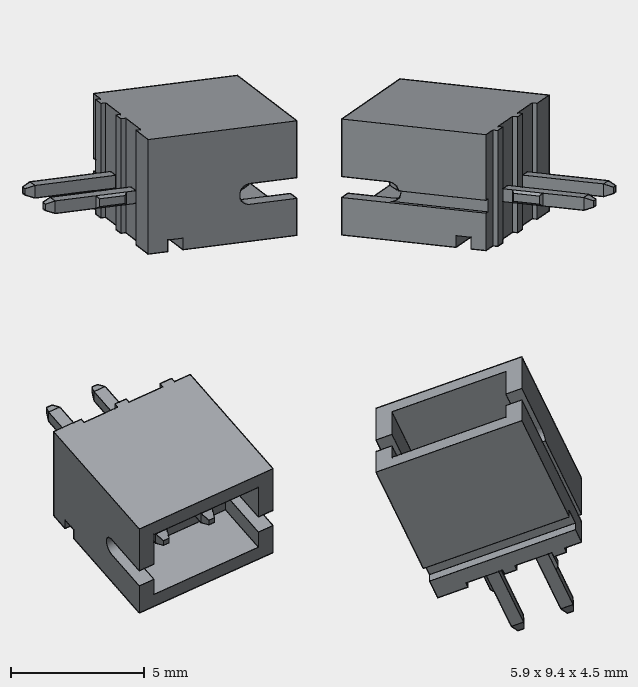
import cadquery as cq


housing_width = 5.9
housing_depth = 5.8
housing_height = 4.5
wall = 0.65

rib_depth = 0.2
left_rib_start = 0.7
left_rib_width = 0.52
middle_rib_width = 0.5
right_rib_width = 1.22

pin_size = 0.5
pin_pitch = 2.0
pin_bottom = 1.46
pin_projection = 3.4
pin_rear_inset = 1.2
tip_length = 0.35
tip_size = pin_size / 2
pin_z = pin_bottom + pin_size / 2
pin_front = -rib_depth - pin_projection
pin_rear = housing_depth - pin_rear_inset

bump_length = 1.22
bump_height = 0.12
bump_inset = 0.09
bump_gap = 0.19
bump_y = -rib_depth - bump_gap - bump_length / 2

slot_height = 0.81
slot_depth = 2.3
groove_depth = 0.2
notch_width = 0.6
notch_height = 0.46
notch_start = 0.6

cavity_floor = housing_depth - slot_depth


def box(x, y, z, width, depth, height):
    """Box with its lowest corner at (x, y, z)."""
    return cq.Workplane("XY").box(width, depth, height, centered=False).translate((x, y, z))


def pin_tip(base_y, direction):
    """Square taper from the pin section at base_y; direction is +1 or -1 along Y."""
    normal = (0, direction, 0)
    base = cq.Plane(origin=(0, base_y, 0), xDir=(1, 0, 0), normal=normal)
    return (
        cq.Workplane(base)
        .rect(pin_size, pin_size)
        .workplane(offset=tip_length)
        .rect(tip_size, tip_size)
        .loft(combine=True)
    )


def make_pin(x, outward):
    """Pin centred at x, with its bump on the outward side (+1 or -1 along X)."""
    shaft_front = pin_front + tip_length
    shaft_length = pin_rear - pin_front - 2 * tip_length
    shaft = box(-pin_size / 2, shaft_front, -pin_size / 2, pin_size, shaft_length, pin_size)
    side = cq.Plane(
        origin=(outward * pin_size / 2, bump_y, 0), xDir=(0, 1, 0), normal=(outward, 0, 0)
    )
    bump = (
        cq.Workplane(side)
        .rect(bump_length, pin_size)
        .workplane(offset=bump_height)
        .rect(bump_length - 2 * bump_inset, pin_size - 2 * bump_inset)
        .loft(combine=True)
    )
    pin = shaft.union(pin_tip(shaft_front, -1))
    pin = pin.union(pin_tip(shaft_front + shaft_length, 1))
    return pin.union(bump).translate((x, 0, pin_z))


def make_ribs():
    """Full-height ribs that stand the housing off the board."""
    layout = [
        (left_rib_start, left_rib_width),
        ((housing_width - middle_rib_width) / 2, middle_rib_width),
        (housing_width - right_rib_width, right_rib_width),
    ]
    ribs = cq.Workplane("XY")
    for start, width in layout:
        ribs = ribs.add(box(start, -rib_depth, 0, width, rib_depth, housing_height))
    return ribs.combine()


def make_slot():
    """Round-ended slot through both side walls, open toward +Y."""
    radius = slot_height / 2
    arc_start = cavity_floor + radius
    slot_top = pin_bottom + slot_height
    return (
        cq.Workplane("YZ")
        .moveTo(housing_depth, pin_bottom)
        .lineTo(arc_start, pin_bottom)
        .threePointArc((cavity_floor, pin_bottom + radius), (arc_start, slot_top))
        .lineTo(housing_depth, slot_top)
        .close()
        .extrude(housing_width)
    )


def make_housing(pin_positions):
    """Open-ended socket with ribs, side openings and a through hole for each pin."""
    cavity = box(
        wall, cavity_floor, wall, housing_width - 2 * wall, slot_depth, housing_height - 2 * wall
    )
    groove = box(0, 0, pin_bottom, groove_depth, housing_depth, pin_size)
    notch = box(0, notch_start, 0, housing_width, notch_width, notch_height)
    body = box(0, 0, 0, housing_width, housing_depth, housing_height).union(make_ribs())
    body = body.cut(cavity).cut(make_slot()).cut(groove).cut(notch)
    for x in pin_positions:
        hole = box(x - pin_size / 2, 0, pin_bottom, pin_size, housing_depth, pin_size)
        body = body.cut(hole)
    return body


outward_sides = [-1, 1]
pin_positions = [housing_width / 2 + side * pin_pitch / 2 for side in outward_sides]

housing = make_housing(pin_positions)
pins = [make_pin(x, side) for x, side in zip(pin_positions, outward_sides)]

result = cq.Compound.makeCompound([housing.val(), *[pin.val() for pin in pins]])